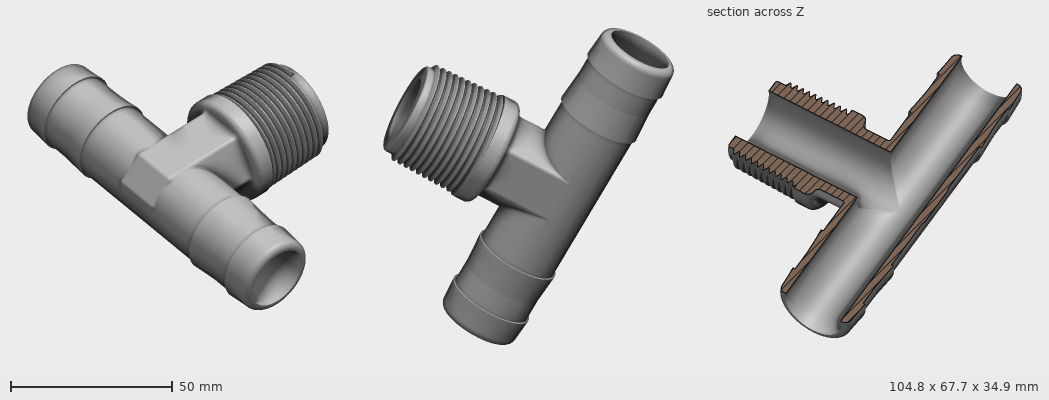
import cadquery as cq
import math

run_length = 104.8
tube_radius = 25.4 / 2
bore_radius = 20.3 / 2
barb_radius = 13.4
end_fillet = 2.2
outer_barb_step = 9.5
inner_barb_start = 16.8
inner_barb_step = 26.4

branch_end = 54.3
hex_apothem = 12.8
edge_fillet = 1.6
collar_radius = 34.9 / 2
collar_start = 22.5
collar_end = 28.5
collar_fillet = 2.1
neck_fillet = 1.6
neck_root_fillet = 0.5

tip_radius = 14.7
tip_fillet = 0.8
cone_end = 50.8
thread_end = 51.7
thread_pitch = 2.2
thread_turns = 11
thread_depth = 1.7
thread_root_width = 1.9
thread_crest_width = 0.2
taper_slope = 1 / 32


def root_radius(y):
    """Thread root radius at height y along the branch."""
    return tip_radius + (cone_end - y) * taper_slope


def make_barbed_half():
    """Tube from the middle to the -X end, with two barbs."""
    end = -run_length / 2
    profile = [
        (end, 0),
        (end, tube_radius),
        (end + outer_barb_step, barb_radius),
        (end + outer_barb_step, tube_radius),
        (end + inner_barb_start, tube_radius),
        (end + inner_barb_step, barb_radius),
        (end + inner_barb_step, tube_radius),
        (0, tube_radius),
        (0, 0),
    ]
    half = cq.Workplane("XY").polyline(profile).close().revolve(360, (0, 0, 0), (1, 0, 0))
    return half.faces("<X").edges().fillet(end_fillet)


def make_hex_neck():
    """Hexagonal prism with flats facing +Z and -Z and rounded long edges."""
    corner_diameter = 2 * hex_apothem / math.cos(math.radians(30))
    neck = cq.Workplane("XZ").polygon(6, corner_diameter).extrude(-collar_start)
    return neck.edges("|Y").fillet(edge_fillet)


def make_corner_block():
    """Hexagonal section carried round the -Y, +Z quarter of the run on octagon faces.

    Its sides lean at the hexagon's 60 degrees, so each half of it is an octagonal prism
    topped by a blunt octagonal pyramid.
    """
    flat_half_width = hex_apothem * math.tan(math.radians(30))
    flank_height = flat_half_width / 2
    octagon_diameter = 2 * hex_apothem / math.cos(math.radians(22.5))
    octagon = cq.Sketch().regularPolygon(octagon_diameter / 2, 8, angle=22.5)
    prism = cq.Workplane("YZ").placeSketch(octagon).extrude(flat_half_width, both=True)
    flank = (
        cq.Workplane("YZ", origin=(flat_half_width, 0, 0))
        .placeSketch(octagon)
        .extrude(flank_height, taper=60)
    )
    block = prism.union(flank).union(flank.mirror("YZ"))
    half_width = flat_half_width + flank_height
    quarter = cq.Workplane("XY").box(2 * half_width, tube_radius * 2, tube_radius * 2)
    block = block.intersect(quarter.translate((0, -tube_radius, tube_radius)))
    inset = 0.1
    outer_edges = cq.selectors.BoxSelector(
        (inset - half_width, -2 * hex_apothem, inset),
        (half_width - inset, -inset, 2 * hex_apothem),
    )
    return block.edges(outer_edges).fillet(edge_fillet)


def make_thread():
    """Right-handed tapered ridge whose far end lies on the +Z side of the branch."""
    height = thread_turns * thread_pitch
    start = thread_end - height
    sink = 0.1
    base_radius = root_radius(start) - sink
    crest_radius = base_radius + sink + thread_depth
    slope_angle = -math.degrees(math.atan(taper_slope))
    helix = cq.Wire.makeHelix(thread_pitch, height, base_radius, angle=slope_angle)
    ridge = [
        (base_radius, -thread_root_width / 2),
        (base_radius + sink, -thread_root_width / 2),
        (crest_radius, -thread_crest_width / 2),
        (crest_radius, thread_crest_width / 2),
        (base_radius + sink, thread_root_width / 2),
        (base_radius, thread_root_width / 2),
    ]
    thread = cq.Workplane("XZ").polyline(ridge).close().sweep(cq.Workplane(obj=helix), isFrenet=True)
    thread = thread.rotate((0, 0, 0), (0, 0, 1), -90).translate((0, 0, start))
    return thread.rotate((0, 0, 0), (1, 0, 0), -90)


def make_thread_core():
    """Tapered body under the thread, with a plain rounded tip."""
    profile = [
        (0, collar_start),
        (root_radius(collar_start), collar_start),
        (tip_radius, cone_end),
        (tip_radius, branch_end),
        (0, branch_end),
    ]
    core = cq.Workplane("XY").polyline(profile).close().revolve(360, (0, 0, 0), (0, 1, 0))
    return core.faces(">Y").edges().fillet(tip_fillet)


def make_branch_body():
    """Hexagonal neck flaring into the rounded underside of the collar."""
    collar = (
        cq.Workplane("XZ", origin=(0, collar_start, 0))
        .circle(collar_radius)
        .extrude(collar_start - collar_end)
    )
    body = make_hex_neck().union(collar)
    underside = body.faces("<Y[1]").val()
    body = body.newObject(underside.innerWires()[0].Edges()).fillet(neck_fillet)
    lower_rim = cq.selectors.RadiusNthSelector(-1)
    return body.edges("%CIRCLE").edges(lower_rim).edges("<Y").fillet(collar_fillet)


def round_neck_root(body):
    """Fillet where the neck meets the run, starting from its leaning sides."""
    inset = 0.1
    behind_run_axis = cq.selectors.BoxSelector(
        (-collar_radius, inset, -tube_radius),
        (collar_radius, tube_radius, tube_radius),
    )
    return body.edges("%ELLIPSE").edges(behind_run_axis).fillet(neck_root_fillet)


half_run = make_barbed_half()
run = half_run.union(half_run.mirror("YZ"))
tee = run.union(make_corner_block()).union(make_branch_body())
tee = round_neck_root(tee).union(make_thread_core().union(make_thread()))

run_bore = cq.Workplane("YZ").circle(bore_radius).extrude(run_length / 2, both=True)
branch_bore = cq.Workplane("XZ").circle(bore_radius).extrude(-branch_end)
result = tee.cut(run_bore).cut(branch_bore)